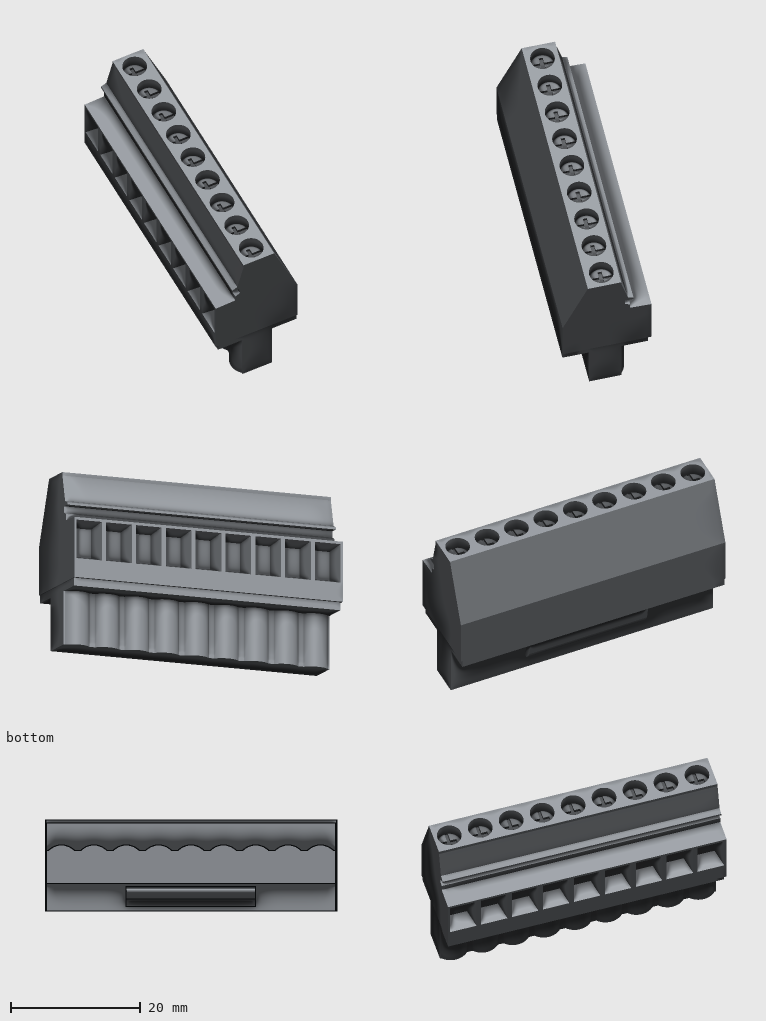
import cadquery as cq

pole_count = 9
pitch = 5.0
pole_xs = [(i - (pole_count - 1) / 2) * pitch for i in range(pole_count)]

housing_length = 45.0
end_offset = 0.04
depth = 14.1
height = 27.3

body_bottom = 9.7
base_bottom = 8.45
back_slope_bottom = 17.3
shelf_front = 19.22
shelf_rear = 19.38
step_top = 20.35
groove_bottom = 20.75
lip_bottom = 21.75
lip_top = 22.1
face_slope_bottom = 22.5
face_slope_top = 26.75

top_front = 4.8
top_rear = 10.1
face_slope_foot = 3.73
lip_front = 2.85
groove_rear = 4.19
step_front = 3.38

base_setback = 0.5
base_pole_width = 4.6
base_length = (pole_count - 1) * pitch + base_pole_width
plug_front = 4.75
plug_rear = 9.85
rib_width = 4.1
rib_front = 3.87

latch_length = 20.0
latch_root_rear = 13.4
latch_root_front = 10.25
latch_root_bottom = 7.9
latch_arm_front = 10.95
latch_arm_top = 6.9
latch_arm_bottom = 4.55
latch_nose_front = 10.5
latch_nose_top = 4.1
latch_nose_bottom = 3.55
latch_heel_mid = (12.8, 7.3)
latch_heel_end = (12.55, 6.6)
latch_back_end = (12.2, 4.8)
latch_hook_mid = (11.85, 4.2)
latch_hook_end = (11.3, 3.45)
latch_tip = (10.85, 3.25)
latch_front_curve_mid = (10.75, 7.8)

entry_width = 4.28
entry_height = 6.1
entry_bottom = 12.7
entry_depth = 2.6
entry_taper = 0.76

screw_diameter = 3.82
screw_y = 7.4
screw_top = height - 1.8
screw_height = 2.5
screw_edge_radius = 0.42
slot_width = 0.54
cross_slot_width = 0.63
cross_slot_length = 2.45
slot_depth = 0.5


def make_body():
    """Upper body: one section in the YZ plane, extruded along the length."""
    section = [
        (0, body_bottom),
        (0, shelf_front),
        (step_front, shelf_rear),
        (step_front, step_top),
        (groove_rear, groove_bottom),
        (groove_rear, lip_bottom),
        (lip_front, lip_bottom),
        (lip_front, lip_top),
        (face_slope_foot, face_slope_bottom),
        (top_front, face_slope_top),
        (top_front, height),
        (top_rear, height),
        (depth, back_slope_bottom),
        (depth, body_bottom),
    ]
    body = cq.Workplane("YZ").polyline(section).close().extrude(housing_length / 2, both=True)
    return body.translate((end_offset, 0, 0))


def make_base():
    """Plate under the body, stepped in at the front and at both ends."""
    return cq.Workplane("XY").box(
        base_length, depth - base_setback, body_bottom - base_bottom, centered=(True, False, False)
    ).translate((0, base_setback, base_bottom))


def make_plug():
    """Plug block with one rounded rib per pole on its front face."""
    outline = cq.Workplane("XY").moveTo(-base_length / 2, plug_rear).lineTo(-base_length / 2, plug_front)
    for x in pole_xs:
        outline = outline.lineTo(x - rib_width / 2, plug_front)
        outline = outline.threePointArc((x, rib_front), (x + rib_width / 2, plug_front))
    outline = outline.lineTo(base_length / 2, plug_front).lineTo(base_length / 2, plug_rear)
    return outline.close().extrude(base_bottom)


def make_latch():
    """Curved latch arm hanging from the base plate, with a nose at its lower end."""
    return (
        cq.Workplane("YZ")
        .moveTo(latch_root_rear, base_bottom)
        .lineTo(latch_root_rear, latch_root_bottom)
        .threePointArc(latch_heel_mid, latch_heel_end)
        .lineTo(*latch_back_end)
        .threePointArc(latch_hook_mid, latch_hook_end)
        .threePointArc(latch_tip, (latch_nose_front, latch_nose_bottom))
        .lineTo(latch_nose_front, latch_nose_top)
        .lineTo(latch_arm_front, latch_arm_bottom)
        .lineTo(latch_arm_front, latch_arm_top)
        .threePointArc(latch_front_curve_mid, (latch_root_front, base_bottom))
        .close()
        .extrude(latch_length / 2, both=True)
    )


def make_wire_entry(x):
    """Rectangular funnel narrowing from the front face to its floor."""
    centre = cq.Vector(x, 0, entry_bottom + entry_height / 2)
    mouth = cq.Workplane(cq.Plane(centre, xDir=(1, 0, 0), normal=(0, 1, 0)))
    return (
        mouth.rect(entry_width, entry_height)
        .workplane(offset=entry_depth)
        .rect(entry_width - 2 * entry_taper, entry_height - 2 * entry_taper)
        .loft(ruled=True)
    )


def make_screw_hole(x):
    """Blind hole from the top face, ending at the underside of the screw."""
    floor = screw_top - screw_height
    return (
        cq.Workplane("XY", origin=(x, screw_y, floor)).circle(screw_diameter / 2).extrude(height - floor)
    )


def make_housing():
    housing = make_body().union(make_base()).union(make_plug()).union(make_latch())
    for x in pole_xs:
        housing = housing.cut(make_wire_entry(x)).cut(make_screw_hole(x))
    return housing


def make_screw(x):
    """Screw with a rounded rim, a through slot and a shorter cross slot."""
    screw = (
        cq.Workplane("XY", origin=(x, screw_y, screw_top - screw_height))
        .circle(screw_diameter / 2)
        .extrude(screw_height)
        .faces(">Z")
        .edges()
        .fillet(screw_edge_radius)
    )
    slot_floor = cq.Workplane("XY", origin=(x, screw_y, screw_top - slot_depth))
    slot = slot_floor.rect(slot_width, screw_diameter).extrude(slot_depth)
    cross_slot = slot_floor.rect(cross_slot_length, cross_slot_width).extrude(slot_depth)
    return screw.cut(slot).cut(cross_slot)


housing = make_housing()
screws = [make_screw(x) for x in pole_xs]
result = cq.Compound.makeCompound([housing.val(), *[screw.val() for screw in screws]])